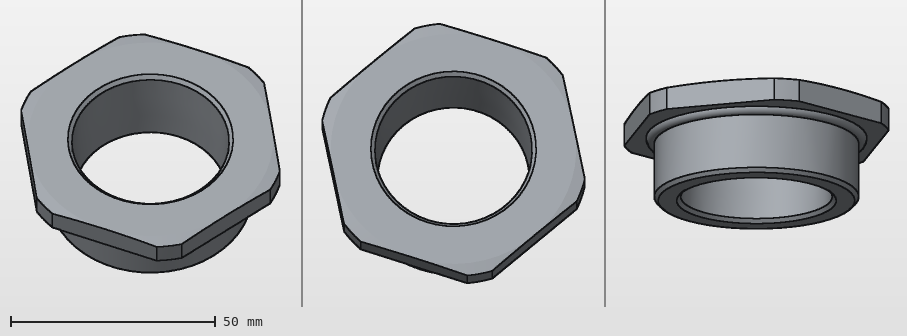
import cadquery as cq

ACROSS_FLATS = 60.0
CORNER_DIAMETER = 66.0
FLANGE_HEIGHT = 6.0
CORNER_BEVEL_DROP = 0.5

SHANK_DIAMETER = 50.0
SHANK_LENGTH = 16.0
SHANK_CHAMFER = 1.0

BORE_TOP_DIAMETER = 38.4
BORE_BOTTOM_DIAMETER = 37.0
BORE_CHAMFER = 1.0

RING_DIAMETER = 54.0
RING_HEIGHT = 1.5

shank_radius = SHANK_DIAMETER / 2
corner_radius = CORNER_DIAMETER / 2
bore_bottom_radius = BORE_BOTTOM_DIAMETER / 2
bore_top_radius = BORE_TOP_DIAMETER / 2


def make_ring():
    """Seal ring that fits the shank, with its lower outer edge fully rounded."""
    ring_radius = RING_DIAMETER / 2
    return (
        cq.Workplane("XZ")
        .moveTo(shank_radius, 0)
        .lineTo(ring_radius, 0)
        .radiusArc((ring_radius - RING_HEIGHT, -RING_HEIGHT), RING_HEIGHT)
        .lineTo(shank_radius, -RING_HEIGHT)
        .close()
        .revolve(360, (0, 0), (0, 1))
    )


def make_flange():
    """Hexagon with corners on the Y axis, trimmed by a turned and bevelled disc."""
    hexagon = (
        cq.Workplane("XY")
        .polygon(6, ACROSS_FLATS, circumscribed=True)
        .extrude(FLANGE_HEIGHT)
    )
    turned_disc = (
        cq.Workplane("XZ")
        .lineTo(corner_radius, 0)
        .lineTo(corner_radius, FLANGE_HEIGHT - CORNER_BEVEL_DROP)
        .lineTo(ACROSS_FLATS / 2, FLANGE_HEIGHT)
        .lineTo(0, FLANGE_HEIGHT)
        .close()
        .revolve(360, (0, 0), (0, 1))
    )
    return hexagon.intersect(turned_disc)


def make_shank():
    """Round shank with a chamfered lower end."""
    return (
        cq.Workplane("XY")
        .circle(shank_radius)
        .extrude(-SHANK_LENGTH)
        .faces("<Z")
        .chamfer(SHANK_CHAMFER)
    )


def make_bore():
    """Conical bore that narrows downwards, chamfered at both ends."""
    return (
        cq.Workplane("XZ")
        .moveTo(0, -SHANK_LENGTH)
        .lineTo(bore_bottom_radius + BORE_CHAMFER, -SHANK_LENGTH)
        .lineTo(bore_bottom_radius, BORE_CHAMFER - SHANK_LENGTH)
        .lineTo(bore_top_radius, FLANGE_HEIGHT - BORE_CHAMFER)
        .lineTo(bore_top_radius + BORE_CHAMFER, FLANGE_HEIGHT)
        .lineTo(0, FLANGE_HEIGHT)
        .close()
        .revolve(360, (0, 0), (0, 1))
    )


ring = make_ring()
plug = make_flange().union(make_shank()).cut(make_bore())

result = cq.Compound.makeCompound([plug.solids().val(), ring.val()])